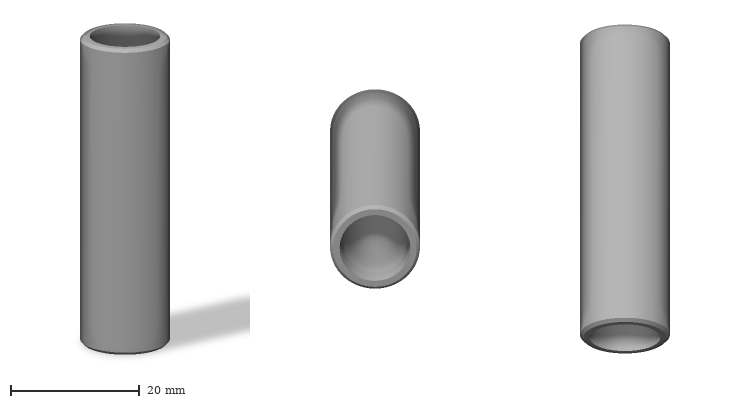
import cadquery as cq

outer_diameter = 14.0
bore_diameter = 11.0
length = 50.0
edge_chamfer = 0.5


def make_tube():
    """Straight tube along Z, standing on the XY plane."""
    body = cq.Workplane("XY").circle(outer_diameter / 2).extrude(length)
    body = body.edges("%CIRCLE").chamfer(edge_chamfer)
    bore = cq.Workplane("XY").circle(bore_diameter / 2).extrude(length)
    return body.cut(bore)


result = make_tube()